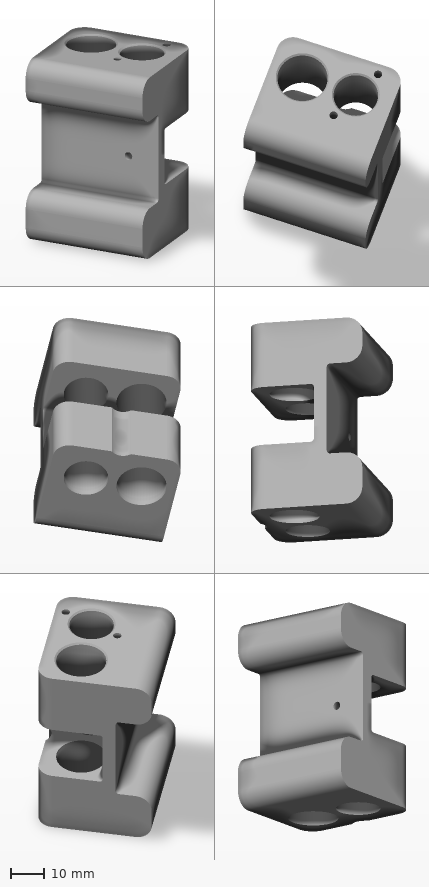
import cadquery as cq
import math

WIDTH = 39.0
DEPTH = 35.44
HEIGHT = 58.0
OUTER_RADIUS = 5.0
INNER_RADIUS = 1.0

WEB_FRONT = 11.0
WEB_THICKNESS = 4.0
WEB_BACK = WEB_FRONT + WEB_THICKNESS

FRONT_CHANNEL_BOTTOM = 16.0
FRONT_CHANNEL_TOP = 44.0
BACK_CHANNEL_BOTTOM = 20.0
BACK_CHANNEL_TOP = 38.0

BORE_Y = 23.5
LARGE_BORE_X = 10.5
LARGE_BORE_DIAMETER = 15.08
BORE_SPACING = 17.0
SMALL_BORE_X = LARGE_BORE_X + BORE_SPACING
SMALL_BORE_DIAMETER = 13.4
BORE_CHAMFER = 0.5

DRILL_DIAMETER = 2.5
DRILL_DEPTH = 10.0
DRILL_POINT_ANGLE = 118.0
SCREW_CIRCLE_RADIUS = 9.5
SCREW_ANGLE = 65.0
WEB_HOLE_X = 29.0
WEB_HOLE_Z = HEIGHT / 2

GROOVE_X = (LARGE_BORE_X + SMALL_BORE_X) / 2
GROOVE_DIAMETER = 8.16
GROOVE_DEPTH = 1.2


def make_channel(y_start, y_end, z_bottom, z_top, web_side):
    """Full-width channel cutter, rounded where it meets the web."""
    size = (WIDTH, y_end - y_start, z_top - z_bottom)
    channel = cq.Workplane("XY").box(*size, centered=False)
    channel = channel.faces(web_side).edges("|X").fillet(INNER_RADIUS)
    return channel.translate((0, y_start, z_bottom))


def make_body():
    """Upper and lower blocks joined by the web, with rounded outer edges."""
    body = cq.Workplane("XY").box(WIDTH, DEPTH, HEIGHT, centered=False)
    body = body.edges("|Z and >Y").fillet(OUTER_RADIUS)
    body = body.cut(make_channel(0, WEB_FRONT, FRONT_CHANNEL_BOTTOM, FRONT_CHANNEL_TOP, ">Y"))
    body = body.cut(make_channel(WEB_BACK, DEPTH, BACK_CHANNEL_BOTTOM, BACK_CHANNEL_TOP, "<Y"))
    return body.faces("<Y").edges("|X").fillet(OUTER_RADIUS)


def make_bore(x, diameter):
    """Through bore with a 45 degree chamfer at the top, revolved about its axis."""
    radius = diameter / 2
    mouth_radius = radius + BORE_CHAMFER
    profile = (
        cq.Workplane("XZ")
        .lineTo(radius, 0)
        .lineTo(radius, HEIGHT - BORE_CHAMFER)
        .lineTo(mouth_radius, HEIGHT)
        .lineTo(0, HEIGHT)
        .close()
    )
    return profile.revolve(360, (0, 0), (0, 1)).translate((x, BORE_Y, 0))


def make_screw_hole(x, y):
    """Blind hole in the top face, ending in a drill point."""
    radius = DRILL_DIAMETER / 2
    point_length = radius / math.tan(math.radians(DRILL_POINT_ANGLE / 2))
    shoulder_z = HEIGHT - DRILL_DEPTH
    profile = (
        cq.Workplane("XZ")
        .moveTo(0, shoulder_z - point_length)
        .lineTo(radius, shoulder_z)
        .lineTo(radius, HEIGHT)
        .lineTo(0, HEIGHT)
        .close()
    )
    return profile.revolve(360, (0, 0), (0, 1)).translate((x, y, 0))


def make_web_hole():
    """Hole through the web along Y."""
    hole = cq.Workplane("XZ").circle(DRILL_DIAMETER / 2).extrude(-WEB_THICKNESS)
    return hole.translate((WEB_HOLE_X, WEB_FRONT, WEB_HOLE_Z))


def make_back_groove():
    """Vertical groove over the full height of the lower block."""
    radius = GROOVE_DIAMETER / 2
    groove = cq.Workplane("XY").circle(radius).extrude(BACK_CHANNEL_BOTTOM)
    return groove.translate((GROOVE_X, DEPTH - GROOVE_DEPTH + radius, 0))


result = make_body()
result = result.cut(make_bore(LARGE_BORE_X, LARGE_BORE_DIAMETER))
result = result.cut(make_bore(SMALL_BORE_X, SMALL_BORE_DIAMETER))

screw_dx = SCREW_CIRCLE_RADIUS * math.cos(math.radians(SCREW_ANGLE))
screw_dy = SCREW_CIRCLE_RADIUS * math.sin(math.radians(SCREW_ANGLE))
for side in (1, -1):
    result = result.cut(make_screw_hole(SMALL_BORE_X + side * screw_dx, BORE_Y + side * screw_dy))

result = result.cut(make_web_hole())
result = result.cut(make_back_groove())